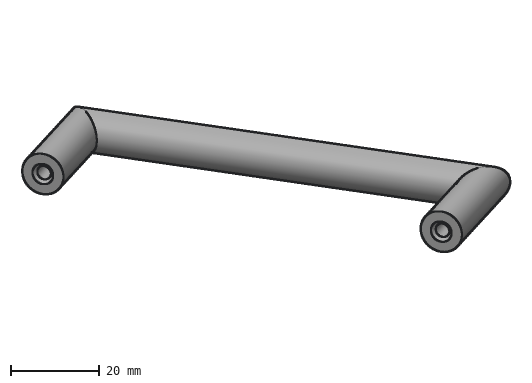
import cadquery as cq
import math

length = 106.0
reach = 32.0
bar_diameter = 10.0

hole_diameter = 3.3
hole_depth = 10.0
countersink_diameter = 5.0
drill_point_angle = 118.0

bar_radius = bar_diameter / 2
leg_spacing = length - bar_diameter
leg_x = leg_spacing / 2
grip_y = reach - bar_radius


def handle_bar():
    """Round bar swept along a U, with sharp mitred corners."""
    path = cq.Workplane("XY").polyline(
        [(-leg_x, 0), (-leg_x, grip_y), (leg_x, grip_y), (leg_x, 0)]
    )
    profile = cq.Workplane("XZ", origin=(-leg_x, 0, 0)).circle(bar_radius)
    return profile.sweep(path, transition="right")


def mounting_hole(x):
    """Blind hole with a 45-degree countersink and a conical drill point, entering a leg end along +Y."""
    hole_radius = hole_diameter / 2
    countersink_radius = countersink_diameter / 2
    countersink_depth = countersink_radius - hole_radius
    drill_point_depth = hole_radius / math.tan(math.radians(drill_point_angle / 2))
    return (
        cq.Workplane("XY", origin=(x, 0, 0))
        .polyline(
            [
                (0, 0),
                (countersink_radius, 0),
                (hole_radius, countersink_depth),
                (hole_radius, hole_depth),
                (0, hole_depth + drill_point_depth),
            ]
        )
        .close()
        .revolve(360, (0, 0, 0), (0, 1, 0))
    )


result = handle_bar()
for x in (-leg_x, leg_x):
    result = result.cut(mounting_hole(x))